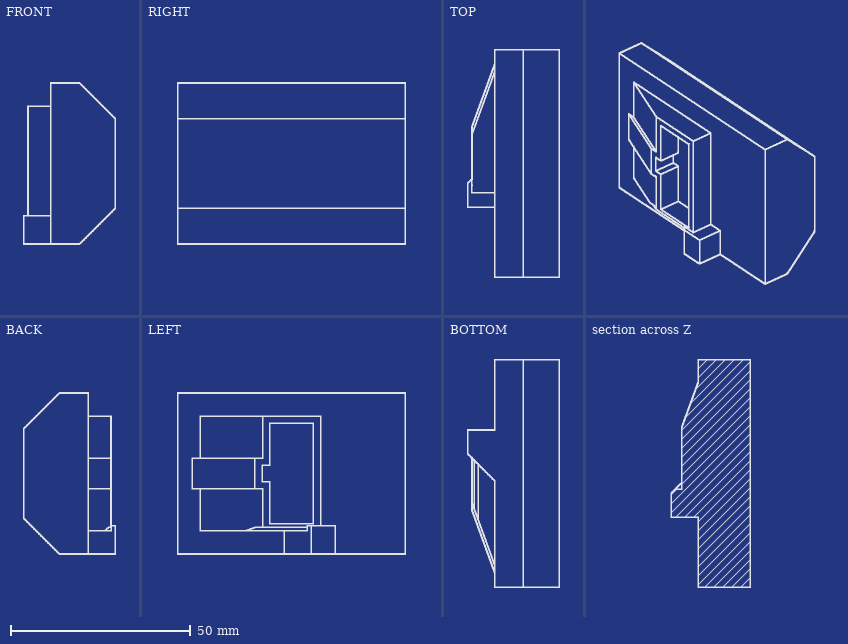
import cadquery as cq
import math

body_length = 63.5
body_height = 45.0
body_depth = 18.07
body_chamfer = 10.0

frame_depth = 6.35
frame_height = 32.0
frame_end_y = -8.1
frame_front_length = 16.1
ramp_angle = 20.0
wall = 2.0

pad_height = 8.5
pad_shift = 2.2

relief_height = 1.0
relief_flat_depth = 0.75

block_depth = 7.5
block_height = 7.95
block_end_y = -12.2
block_front_length = 6.7

body_bottom = -body_height / 2
frame_bottom = -frame_height / 2
frame_front_y = frame_end_y + frame_front_length
ramp_length = frame_depth / math.tan(math.radians(ramp_angle))
pocket_end_y = frame_end_y + wall
pocket_front_y = frame_front_y - wall


def plan_prism(points, bottom, height):
    """Prism with an outline in XY, rising along Z from the given bottom."""
    return cq.Workplane("XY").workplane(offset=bottom).polyline(points).close().extrude(height)


def box_between(x_range, y_range, z_range):
    """Axis-aligned box given by its low and high values on each axis."""
    ranges = (x_range, y_range, z_range)
    sizes = [high - low for low, high in ranges]
    return cq.Workplane("XY").box(*sizes, centered=False).translate(tuple(low for low, _ in ranges))


def make_body():
    """Block with the two long edges away from the mounting face chamfered."""
    block = box_between(
        (0, body_depth),
        (-body_length / 2, body_length / 2),
        (-body_height / 2, body_height / 2),
    )
    return block.faces(">X").edges("|Y").chamfer(body_chamfer)


def ramped_slab(front_y, height):
    """Slab of frame depth, centred in Z, whose +Y end ramps down to the body."""
    outline = [
        (0, frame_end_y),
        (-frame_depth, frame_end_y),
        (-frame_depth, front_y),
        (0, front_y + ramp_length),
    ]
    return plan_prism(outline, -height / 2, height)


def make_relief():
    """Cutter for the lower front edge: a flat step that runs out at 45 degrees."""
    step_x = -frame_depth + relief_flat_depth
    outline = [
        (-frame_depth, frame_bottom),
        (step_x + relief_height, frame_bottom),
        (step_x, frame_bottom + relief_height),
        (-frame_depth, frame_bottom + relief_height),
    ]
    length = frame_front_length + ramp_length
    profile = cq.Workplane("XZ", origin=(0, frame_end_y, 0)).polyline(outline).close()
    return profile.extrude(-length)


def make_pocket():
    """Cutter for the frame opening, with a notch reaching into the middle pad."""
    opening_height = frame_height - 2 * wall
    notch_height = pad_height - 2 * wall
    opening = box_between(
        (-frame_depth, 0),
        (pocket_end_y, pocket_front_y),
        (-opening_height / 2, opening_height / 2),
    )
    notch = box_between(
        (-frame_depth, 0),
        (pocket_end_y, pocket_front_y + pad_shift),
        (-notch_height / 2, notch_height / 2),
    )
    return opening.union(notch)


def make_frame():
    """Ramped frame with its middle pad, lower relief and opening."""
    frame = ramped_slab(frame_front_y, frame_height)
    frame = frame.cut(make_relief())
    frame = frame.union(ramped_slab(frame_front_y + pad_shift, pad_height))
    return frame.cut(make_pocket())


def make_corner_block():
    """Block below the frame; its 45 degree flank continues as a lower wedge."""
    front_y = block_end_y + block_front_length
    wedge_y = front_y + block_depth - frame_depth
    block_outline = [
        (0, block_end_y),
        (-block_depth, block_end_y),
        (-block_depth, front_y),
        (-frame_depth, wedge_y),
        (0, wedge_y),
    ]
    wedge_outline = [
        (0, wedge_y),
        (-frame_depth, wedge_y),
        (0, wedge_y + frame_depth),
    ]
    block = plan_prism(block_outline, body_bottom, block_height)
    wedge = plan_prism(wedge_outline, body_bottom, frame_bottom - body_bottom)
    return block.union(wedge)


result = make_body().union(make_frame()).union(make_corner_block())